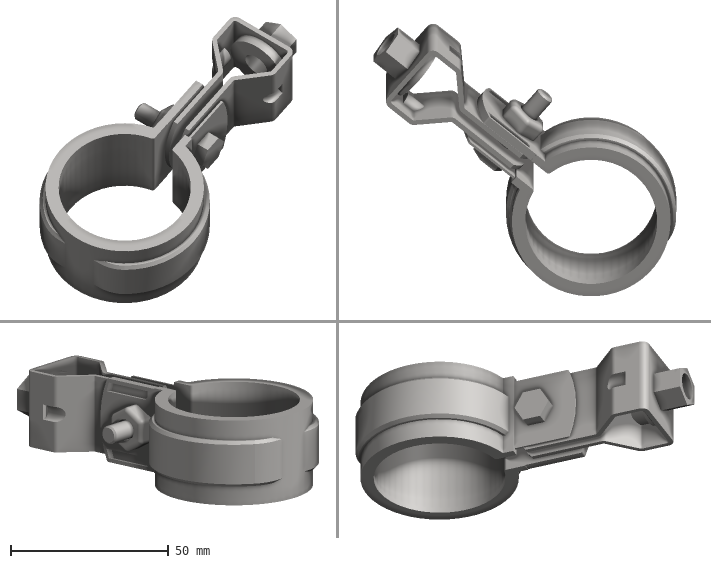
import cadquery as cq
import math


RING_OUTER_RADIUS = 25.2
RING_INNER_RADIUS = 21.0
RING_HEIGHT = 28.0
EAR_INNER_X = 3.5
EAR_OUTER_X = 6.2
EAR_TOP_Y = 28.0
EAR_ROUNDING = 1.0
BAND_RADIUS = 27.1
BAND_HEIGHT = 15.0
BAND_CHAMFER = 1.0
BAND_ROOT_RADIUS = 22.7
BAND_TAIL_RADIUS = 13.8
BAND_TAIL_ANGLE = 35.5

PLATE_CROWN_RADIUS = 34.3
PLATE_CORNER_RADIUS = 0.7

THICK_PLATE_TOP_Y = 50.4
THICK_PLATE_HEIGHT = 27.5
POCKET_DEPTH = 1.0
POCKET_BOTTOM_Y = 30.8
POCKET_TOP_Y = 47.8
POCKET_OUTER_Z = 12.5
POCKET_INNER_Z = 9.5
POCKET_CORNER = 0.9
POCKET_SLANT = 1.0
POCKET_RAMP = 1.2

THIN_PLATE_X = 4.4
THIN_PLATE_THICKNESS = 0.8
THIN_PLATE_TOP_Y = 48.8
THIN_PLATE_HEIGHT = 25.0

BOLT_Y = 35.5
BOLT_DIAMETER = 6.0
BOLT_TIP_X = -19.9
BOLT_TIP_DIAMETER = 4.9
HEAD_X = THIN_PLATE_X + THIN_PLATE_THICKNESS
HEAD_ACROSS_CORNERS = 11.7
HEAD_LENGTH = 4.0
NUT_ACROSS_FLATS = 13.0
NUT_LENGTH = 5.4
NUT_ROUNDING = 1.7
NUT_BORE = 7.0

STRIP = 1.5
STRIP_HEIGHT = 25.0
BRACKET_TOP_Y = 76.2
BRACKET_HALF_WIDTH = 12.2
ARM_GAP = 3.0
SHOULDER_Y = 64.4
ARM_END_Y = 26.2
ARM_END_RADIUS = 18.8
BEND_INNER_RADIUS = 0.9
BEND_MITRE = math.tan(math.radians(45 / 2))
RIB_TOP_Y = 69.2
GROOVE_DIAMETER = 5.0

FITTING_TOP_Y = 85.3
FITTING_ACROSS_FLATS = 11.9
FLANGE_DIAMETER = 20.0
FLANGE_THICKNESS = 3.0
NECK_DIAMETER = 10.5
FITTING_BORE = 8.5

HEX_RATIO = 2 / math.sqrt(3)
PICK = 0.1


def block(x_range, y_range, height):
    """A block with the given X and Y limits, centred on Z = 0."""
    (x0, x1), (y0, y1) = x_range, y_range
    centre = ((x0 + x1) / 2, (y0 + y1) / 2, 0)
    return cq.Workplane("XY").box(x1 - x0, y1 - y0, height).translate(centre)


def rod_along_x(x0, x1, diameter):
    """A cylinder on the bolt axis."""
    return cq.Workplane("YZ", origin=(x0, BOLT_Y, 0)).circle(diameter / 2).extrude(x1 - x0)


def rod_along_y(y0, y1, diameter, x=0):
    """A cylinder parallel to Y at height Z = 0."""
    return cq.Workplane("XZ", origin=(x, y0, 0)).circle(diameter / 2).extrude(y0 - y1)


def fillet_upright_edge(body, x, y, radius):
    """Fillet the edge parallel to Z that stands at the given place."""
    spot = cq.selectors.BoxSelector((x - PICK, y - PICK, -PICK), (x + PICK, y + PICK, PICK))
    return body.edges("|Z").edges(spot).fillet(radius)


def half_chord(radius, distance):
    """Half the length of a circle's chord at the given distance from its centre."""
    return math.sqrt(radius**2 - distance**2)


def make_band():
    """The raised band on the +X side; its root and both ends lie inside the ring and the ear."""
    tail = math.radians(BAND_TAIL_ANGLE)
    top_x = (EAR_INNER_X + EAR_OUTER_X) / 2
    flat_x = (BAND_RADIUS - BAND_TAIL_RADIUS) * math.sin(tail)
    tail_centre_y = -(BAND_RADIUS - BAND_TAIL_RADIUS) * math.cos(tail)
    flat_y = tail_centre_y - BAND_TAIL_RADIUS
    tail_middle = (
        flat_x + BAND_TAIL_RADIUS * math.sin(tail / 2),
        tail_centre_y - BAND_TAIL_RADIUS * math.cos(tail / 2),
    )
    end_x = flat_x / 3
    return (
        cq.Workplane("XY", origin=(0, 0, -BAND_HEIGHT / 2))
        .moveTo(top_x, half_chord(BAND_RADIUS, top_x))
        .threePointArc((BAND_RADIUS, 0), (BAND_RADIUS * math.sin(tail), -BAND_RADIUS * math.cos(tail)))
        .threePointArc(tail_middle, (flat_x, flat_y))
        .lineTo(end_x, flat_y)
        .lineTo(end_x, -half_chord(BAND_ROOT_RADIUS, end_x))
        .threePointArc((BAND_ROOT_RADIUS, 0), (top_x, half_chord(BAND_ROOT_RADIUS, top_x)))
        .close()
        .extrude(BAND_HEIGHT)
        .faces("|Z")
        .edges()
        .chamfer(BAND_CHAMFER)
    )


def make_ring():
    """The split ring with its ears and bands."""
    ring = cq.Workplane("XY").circle(RING_OUTER_RADIUS).extrude(RING_HEIGHT / 2, both=True)
    ring = ring.union(block((-EAR_OUTER_X, EAR_OUTER_X), (0, EAR_TOP_Y), RING_HEIGHT))
    ring = ring.cut(cq.Workplane("XY").circle(RING_INNER_RADIUS).extrude(RING_HEIGHT, both=True))
    ring = ring.cut(block((-EAR_INNER_X, EAR_INNER_X), (0, EAR_TOP_Y), RING_HEIGHT))
    band = make_band()
    for side in (-1, 1):
        corner_y = half_chord(RING_INNER_RADIUS, EAR_INNER_X)
        ring = fillet_upright_edge(ring, side * EAR_INNER_X, corner_y, EAR_ROUNDING)
    return ring.union(band).union(band.mirror("YZ"))


def pocket_outline(top_y):
    """A pocket's outline in Y and Z, with one cut corner and a slanted upper end."""
    return [
        (top_y, POCKET_INNER_Z),
        (POCKET_BOTTOM_Y + POCKET_CORNER, POCKET_INNER_Z),
        (POCKET_BOTTOM_Y, POCKET_INNER_Z + POCKET_CORNER),
        (POCKET_BOTTOM_Y, POCKET_OUTER_Z),
        (top_y - POCKET_SLANT, POCKET_OUTER_Z),
    ]


def make_pocket_cutter():
    """The cutter of the upper pocket in the thick plate's outer face; its slanted end is a ramp."""
    return (
        cq.Workplane("YZ", origin=(-EAR_OUTER_X, 0, 0))
        .polyline(pocket_outline(POCKET_TOP_Y))
        .close()
        .workplane(offset=POCKET_DEPTH)
        .polyline(pocket_outline(POCKET_TOP_Y - POCKET_RAMP))
        .close()
        .loft(ruled=True)
    )


def make_crowned_plate(x_range, top_y, height):
    """A plate standing on an ear, with a crowned top, rounded corners and a hole for the bolt."""
    x0, x1 = x_range
    half = height / 2
    corner_y = top_y - PLATE_CROWN_RADIUS + half_chord(PLATE_CROWN_RADIUS, half)
    plate = (
        cq.Workplane("YZ", origin=(x0, 0, 0))
        .moveTo(EAR_TOP_Y, -half)
        .lineTo(corner_y, -half)
        .threePointArc((top_y, 0), (corner_y, half))
        .lineTo(EAR_TOP_Y, half)
        .close()
        .extrude(x1 - x0)
    )
    plate = plate.edges("|X and (not <Y)").fillet(PLATE_CORNER_RADIUS)
    return plate.cut(rod_along_x(x0, x1, BOLT_DIAMETER))


def make_thick_plate():
    """The plate on the left ear, which carries the nut and has two pockets."""
    plate = make_crowned_plate((-EAR_OUTER_X, -EAR_INNER_X), THICK_PLATE_TOP_Y, THICK_PLATE_HEIGHT)
    pocket = make_pocket_cutter()
    return plate.cut(pocket).cut(pocket.mirror("XY"))


def make_thin_plate():
    """The plain sheet on the right ear under the bolt head."""
    return make_crowned_plate((THIN_PLATE_X, HEAD_X), THIN_PLATE_TOP_Y, THIN_PLATE_HEIGHT)


def make_strip():
    """The bent strip: a closed end, two sides, two sloping shoulders and two parallel arms."""
    inner_x = BRACKET_HALF_WIDTH - STRIP
    arm_inner_x = ARM_GAP / 2
    arm_outer_x = arm_inner_x + STRIP
    mitre = STRIP * BEND_MITRE
    waist_y = SHOULDER_Y - (BRACKET_HALF_WIDTH - arm_outer_x)
    convex_bends = [
        (BRACKET_HALF_WIDTH, BRACKET_TOP_Y),
        (BRACKET_HALF_WIDTH, SHOULDER_Y),
        (arm_inner_x, waist_y + mitre),
    ]
    concave_bends = [
        (inner_x, BRACKET_TOP_Y - STRIP),
        (inner_x, SHOULDER_Y + mitre),
        (arm_outer_x, waist_y),
    ]
    right_side = [
        *convex_bends[:2],
        concave_bends[2],
        (arm_outer_x, ARM_END_Y),
        (arm_inner_x, ARM_END_Y),
        convex_bends[2],
        concave_bends[1],
        concave_bends[0],
    ]
    left_side = [(-x, y) for x, y in reversed(right_side)]
    strip = (
        cq.Workplane("XY", origin=(0, 0, -STRIP_HEIGHT / 2))
        .polyline(right_side + left_side)
        .close()
        .extrude(STRIP_HEIGHT)
    )
    for bends, radius in ((convex_bends, BEND_INNER_RADIUS + STRIP), (concave_bends, BEND_INNER_RADIUS)):
        for x, y in bends:
            strip = fillet_upright_edge(strip, x, y, radius)
            strip = fillet_upright_edge(strip, -x, y, radius)
    return strip


def make_bracket_side_outline():
    """A block along X whose lower end is the arc that ends both arms."""
    half = STRIP_HEIGHT / 2
    corner_y = ARM_END_Y + ARM_END_RADIUS - half_chord(ARM_END_RADIUS, half)
    return (
        cq.Workplane("YZ")
        .moveTo(BRACKET_TOP_Y, half)
        .lineTo(corner_y, half)
        .threePointArc((ARM_END_Y, 0), (corner_y, -half))
        .lineTo(BRACKET_TOP_Y, -half)
        .close()
        .extrude(BRACKET_HALF_WIDTH, both=True)
    )


def press_rib(bracket, side):
    """Press a half-round rib inward across one shoulder, open at its upper end."""
    face_x = side * BRACKET_HALF_WIDTH
    lower_y = SHOULDER_Y - BRACKET_HALF_WIDTH / 2
    rib = rod_along_y(lower_y, RIB_TOP_Y, GROOVE_DIAMETER + 2 * STRIP, face_x)
    groove = rod_along_y(lower_y, RIB_TOP_Y, GROOVE_DIAMETER, face_x)
    middle_x = side * (BRACKET_HALF_WIDTH - STRIP / 2)
    middle_bend_y = SHOULDER_Y + STRIP / 2 * BEND_MITRE
    inward_of_strip_middle = (
        cq.Workplane("XY", origin=(0, 0, -STRIP_HEIGHT / 2))
        .moveTo(0, RIB_TOP_Y)
        .lineTo(middle_x, RIB_TOP_Y)
        .lineTo(middle_x, middle_bend_y)
        .lineTo(0, middle_bend_y - abs(middle_x))
        .close()
        .extrude(STRIP_HEIGHT)
    )
    return bracket.union(rib.intersect(inward_of_strip_middle)).cut(groove)


def make_bracket():
    """The strip with its ribs and the holes for the bolt and the fitting's neck."""
    bracket = make_strip().intersect(make_bracket_side_outline())
    for side in (-1, 1):
        bracket = press_rib(bracket, side)
    bracket = bracket.cut(rod_along_x(-EAR_INNER_X, EAR_INNER_X, BOLT_DIAMETER))
    return bracket.cut(rod_along_y(BRACKET_TOP_Y - STRIP, BRACKET_TOP_Y, NECK_DIAMETER))


def make_bolt():
    """The hexagon-head bolt; two opposite corners of its head lie along Y."""
    shank = rod_along_x(BOLT_TIP_X, HEAD_X, BOLT_DIAMETER)
    shank = shank.faces("<X").chamfer((BOLT_DIAMETER - BOLT_TIP_DIAMETER) / 2)
    head = cq.Workplane("YZ", origin=(HEAD_X, BOLT_Y, 0)).polygon(6, HEAD_ACROSS_CORNERS).extrude(HEAD_LENGTH)
    return shank.union(head)


def make_nut():
    """The rounded nut; two opposite corners lie along Z."""
    front_x = -EAR_OUTER_X - NUT_LENGTH
    return (
        cq.Workplane("YZ", origin=(front_x, BOLT_Y, 0))
        .transformed(rotate=(0, 0, 30))
        .polygon(6, NUT_ACROSS_FLATS * HEX_RATIO)
        .extrude(NUT_LENGTH)
        .edges("|X")
        .fillet(NUT_ROUNDING)
        .faces("<X")
        .edges()
        .fillet(NUT_ROUNDING)
        .cut(rod_along_x(front_x, -EAR_OUTER_X, NUT_BORE))
    )


def make_fitting():
    """A hexagon outside the bracket, a flange inside it and a neck through it, all bored along Y."""
    flange_top_y = BRACKET_TOP_Y - STRIP
    flange_bottom_y = flange_top_y - FLANGE_THICKNESS
    hexagon = (
        cq.Workplane("XZ", origin=(0, FITTING_TOP_Y, 0))
        .transformed(rotate=(0, 0, 30))
        .polygon(6, FITTING_ACROSS_FLATS * HEX_RATIO)
        .extrude(FITTING_TOP_Y - BRACKET_TOP_Y)
    )
    neck = rod_along_y(flange_top_y, BRACKET_TOP_Y, NECK_DIAMETER)
    flange = rod_along_y(flange_bottom_y, flange_top_y, FLANGE_DIAMETER)
    bore = rod_along_y(flange_bottom_y, FITTING_TOP_Y, FITTING_BORE)
    return hexagon.union(neck).union(flange).cut(bore)


ring = make_ring()
thick_plate = make_thick_plate()
thin_plate = make_thin_plate()
bracket = make_bracket()
bolt = make_bolt()
nut = make_nut()
fitting = make_fitting()

bodies = [ring, thick_plate, thin_plate, bracket, bolt, nut, fitting]
result = cq.Compound.makeCompound([body.val() for body in bodies])